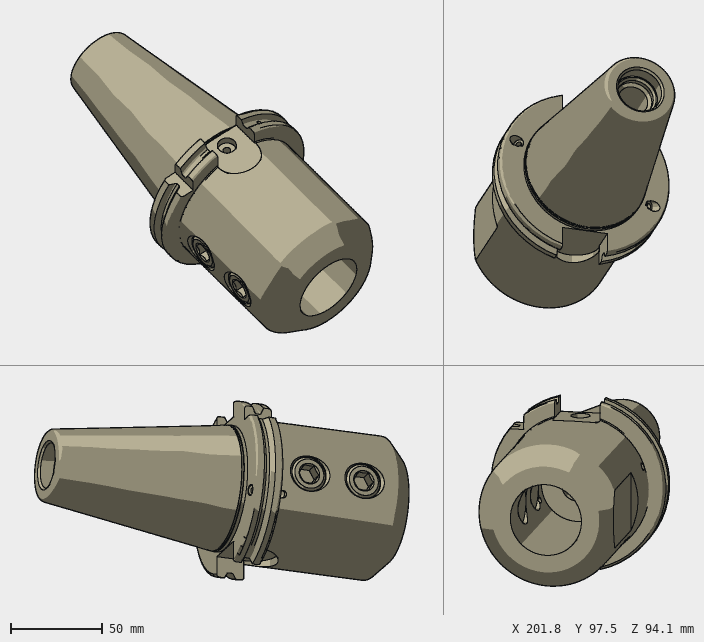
import cadquery as cq
import math


GAUGE_RADIUS = 69.85 / 2
TAPER_LENGTH = 101.75
TAPER_SLOPE = 7 / 48
SMALL_END_X = -TAPER_LENGTH
SMALL_END_RADIUS = GAUGE_RADIUS - TAPER_LENGTH * TAPER_SLOPE
SMALL_END_FILLET = 2.2

RELIEF_END_X = 1.2
RELIEF_RADIUS = 34.3
COLLAR_RADIUS = 35.1

FLANGE_START_X = 3.2
FLANGE_END_X = 19.1
FLANGE_RADIUS = 97.5 / 2
FLANGE_FILLET = 1.5
GROOVE_X = 11.1
GROOVE_RADIUS = 45.7
GROOVE_BOTTOM_WIDTH = 3.0
GROOVE_HALF_ANGLE = math.radians(30)
GROOVE_FILLET = 1.0
GROOVE_HOLE_RADIUS = 1.25
GROOVE_HOLE_DEPTH = 5.0
GROOVE_HOLE_AZIMUTH = math.radians(30)

NOSE_RADIUS = 40.0
NOSE_END_X = 100.0
NOSE_CHAMFER = 10.0
NOSE_ROOT_FILLET = 0.6
NOSE_SHOULDER_FILLET = 2.0
NOSE_TIP_FILLET = 1.0

FLAT_Y = 36.5
FLAT_START_X = 48.3
FLAT_RAMP_ANGLE = math.radians(60)

TOOL_BORE_RADIUS = 20.0
TOOL_BORE_DEPTH = 80.0
THROUGH_RADIUS = 8.5
THREAD_RADIUS = 10.5
THREAD_LEAD_RADIUS = 11.8
THREAD_DEPTH = 13.0
PILOT_RADIUS = 12.5
PILOT_DEPTH = 8.9
PILOT_CHAMFER = 1.2

SLOT_WIDTH = 25.7
SLOT_END_RADIUS = 13.25
SLOT_CENTRE_X = 20.2
UPPER_SLOT_Z = 37.7
LOWER_SLOT_Z = 35.3

NOTCH_CORNER = 30.2

CHIP_RADIUS = 5.2
CHIP_DEPTH = 4.6
CHIP_DRILL_RADIUS = 2.1
CHIP_DRILL_DEPTH = 5.0

COOLANT_AZIMUTH = math.radians(20)
COOLANT_MOUTH_RADIUS = 41.7
COOLANT_LEAN = math.radians(40)
COOLANT_COUNTERBORE_RADIUS = 3.0
COOLANT_COUNTERBORE_DEPTH = 3.0
COOLANT_RADIUS = 1.5
PLUG_X = 22.9
PLUG_RADIUS = 2.1
PLUG_DEPTH = 3.0

SCREW_X = (38.0, 70.0)
SCREW_RADIUS = 10.0
SCREW_FACE_Y = -38.8
SCREW_FACE_RADIUS = 8.5
SCREW_END_Y = -TOOL_BORE_RADIUS
SCREW_SINK_RADIUS = 11.6
SOCKET_ACROSS_FLATS = 10.0
SOCKET_DEPTH = 8.0
SOCKET_SINK_RADIUS = 6.0

DRILL_TIP_ANGLE = math.radians(118)
CUT_MARGIN = 5.0


def drill(start, direction, radius, depth, tip_angle=None):
    """Cylinder from start along direction, with a conical tip if a tip angle is given."""
    tool = cq.Solid.makeCylinder(radius, depth, start, direction)
    if tip_angle is None:
        return tool
    tip_height = radius / math.tan(tip_angle / 2)
    tip = cq.Solid.makeCone(radius, 0, tip_height, start + direction.normalized() * depth, direction)
    return tool.fuse(tip)


def round_edge(body, x, radius, fillet):
    """Fillet the circular edge of the given radius that lies at x on the spindle axis."""
    near = 0.01
    edges = []
    for edge in body.edges("%CIRCLE").vals():
        if abs(edge.Center().x - x) < near and abs(edge.radius() - radius) < near:
            edges.append(edge)
    return body.newObject(edges).fillet(fillet)


def make_blank():
    """Turned outline of taper, flange and nose, with the rounded edges."""
    groove_half_bottom = GROOVE_BOTTOM_WIDTH / 2
    groove_half_top = groove_half_bottom + (FLANGE_RADIUS - GROOVE_RADIUS) * math.tan(GROOVE_HALF_ANGLE)
    outline = [
        (SMALL_END_X, 0),
        (SMALL_END_X, SMALL_END_RADIUS),
        (0, GAUGE_RADIUS),
        (0, RELIEF_RADIUS),
        (RELIEF_END_X, RELIEF_RADIUS),
        (RELIEF_END_X, COLLAR_RADIUS),
        (FLANGE_START_X, COLLAR_RADIUS),
        (FLANGE_START_X, FLANGE_RADIUS),
        (GROOVE_X - groove_half_top, FLANGE_RADIUS),
        (GROOVE_X - groove_half_bottom, GROOVE_RADIUS),
        (GROOVE_X + groove_half_bottom, GROOVE_RADIUS),
        (GROOVE_X + groove_half_top, FLANGE_RADIUS),
        (FLANGE_END_X, FLANGE_RADIUS),
        (FLANGE_END_X, NOSE_RADIUS),
        (NOSE_END_X - NOSE_CHAMFER, NOSE_RADIUS),
        (NOSE_END_X, NOSE_RADIUS - NOSE_CHAMFER),
        (NOSE_END_X, 0),
    ]
    blank = cq.Workplane("XZ").polyline(outline).close().revolve(360, (0, 0, 0), (1, 0, 0))

    blank = round_edge(blank, SMALL_END_X, SMALL_END_RADIUS, SMALL_END_FILLET)
    blank = round_edge(blank, FLANGE_START_X, FLANGE_RADIUS, FLANGE_FILLET)
    blank = round_edge(blank, FLANGE_END_X, FLANGE_RADIUS, FLANGE_FILLET)
    for side in (-1, 1):
        blank = round_edge(blank, GROOVE_X + side * groove_half_bottom, GROOVE_RADIUS, GROOVE_FILLET)
    blank = round_edge(blank, FLANGE_END_X, NOSE_RADIUS, NOSE_ROOT_FILLET)
    blank = round_edge(blank, NOSE_END_X - NOSE_CHAMFER, NOSE_RADIUS, NOSE_SHOULDER_FILLET)
    return round_edge(blank, NOSE_END_X, NOSE_RADIUS - NOSE_CHAMFER, NOSE_TIP_FILLET)


def make_axial_bores():
    """Stepped bore: pilot, thread core and through hole from -X, tool bore from +X."""
    pilot_end_x = SMALL_END_X + PILOT_DEPTH
    thread_end_x = SMALL_END_X + THREAD_DEPTH
    tool_bore_end_x = NOSE_END_X - TOOL_BORE_DEPTH
    outline = [
        (SMALL_END_X, 0),
        (SMALL_END_X, PILOT_RADIUS + PILOT_CHAMFER),
        (SMALL_END_X + PILOT_CHAMFER, PILOT_RADIUS),
        (pilot_end_x, PILOT_RADIUS),
        (pilot_end_x, THREAD_LEAD_RADIUS),
        (pilot_end_x + THREAD_LEAD_RADIUS - THREAD_RADIUS, THREAD_RADIUS),
        (thread_end_x, THREAD_RADIUS),
        (thread_end_x + (THREAD_RADIUS - THROUGH_RADIUS) / math.tan(DRILL_TIP_ANGLE / 2), THROUGH_RADIUS),
        (tool_bore_end_x, THROUGH_RADIUS),
        (tool_bore_end_x, TOOL_BORE_RADIUS),
        (NOSE_END_X, TOOL_BORE_RADIUS),
        (NOSE_END_X, 0),
    ]
    return cq.Workplane("XZ").polyline(outline).close().revolve(360, (0, 0, 0), (1, 0, 0))


def make_drive_slot(floor_z, side):
    """Slot across the flange with a round end in the nose; side is +1 for +Z, -1 for -Z."""
    start_x = FLANGE_START_X - CUT_MARGIN
    half_width = SLOT_WIDTH / 2
    height = FLANGE_RADIUS + CUT_MARGIN - floor_z
    return (
        cq.Workplane("XY", origin=(0, 0, side * floor_z))
        .moveTo(start_x, -half_width)
        .lineTo(FLANGE_END_X, -half_width)
        .lineTo(FLANGE_END_X, -SLOT_END_RADIUS)
        .lineTo(SLOT_CENTRE_X, -SLOT_END_RADIUS)
        .threePointArc((SLOT_CENTRE_X + SLOT_END_RADIUS, 0), (SLOT_CENTRE_X, SLOT_END_RADIUS))
        .lineTo(FLANGE_END_X, SLOT_END_RADIUS)
        .lineTo(FLANGE_END_X, half_width)
        .lineTo(start_x, half_width)
        .close()
        .extrude(side * height)
    )


def make_notch():
    size = FLANGE_RADIUS
    width = FLANGE_END_X - FLANGE_START_X
    return cq.Workplane("XY").box(width, size, size, centered=False).translate(
        (FLANGE_START_X, -NOTCH_CORNER - size, NOTCH_CORNER))


def make_flat():
    """Wedge-ended cutter for the balancing flat; its start is a steep ramp."""
    rise = NOSE_RADIUS + CUT_MARGIN - FLAT_Y
    outline = [
        (FLAT_START_X, FLAT_Y),
        (FLAT_START_X - rise / math.tan(FLAT_RAMP_ANGLE), FLAT_Y + rise),
        (NOSE_END_X, FLAT_Y + rise),
        (NOSE_END_X, FLAT_Y),
    ]
    return cq.Workplane("XY").polyline(outline).close().extrude(NOSE_RADIUS, both=True)


def make_chip_pocket():
    down = cq.Vector(0, 0, -1)
    pocket = drill(cq.Vector(GROOVE_X, 0, UPPER_SLOT_Z), down, CHIP_RADIUS, CHIP_DEPTH)
    drill_start = cq.Vector(GROOVE_X, 0, UPPER_SLOT_Z - CHIP_DEPTH)
    return pocket.fuse(drill(drill_start, down, CHIP_DRILL_RADIUS, CHIP_DRILL_DEPTH, DRILL_TIP_ANGLE))


def make_groove_hole():
    """Small blind radial hole in the bottom of the gripper groove."""
    outward = cq.Vector(0, math.sin(GROOVE_HOLE_AZIMUTH), math.cos(GROOVE_HOLE_AZIMUTH))
    start = cq.Vector(GROOVE_X, 0, 0) + outward * FLANGE_RADIUS
    depth = FLANGE_RADIUS - GROOVE_RADIUS + GROOVE_HOLE_DEPTH
    return drill(start, outward * -1, GROOVE_HOLE_RADIUS, depth)


def make_coolant_channel(side):
    """Counterbored channel from the flange face to the tool bore, and the blind plug hole."""
    outward = cq.Vector(0, side * math.cos(COOLANT_AZIMUTH), side * math.sin(COOLANT_AZIMUTH))
    along = cq.Vector(math.cos(COOLANT_LEAN), 0, 0) - outward * math.sin(COOLANT_LEAN)
    mouth = cq.Vector(FLANGE_START_X, 0, 0) + outward * COOLANT_MOUTH_RADIUS
    channel_length = (COOLANT_MOUTH_RADIUS - TOOL_BORE_RADIUS + COOLANT_RADIUS) / math.sin(COOLANT_LEAN)
    counterbore = drill(mouth - along * CUT_MARGIN, along, COOLANT_COUNTERBORE_RADIUS,
                        COOLANT_COUNTERBORE_DEPTH + CUT_MARGIN)
    channel = drill(mouth, along, COOLANT_RADIUS, channel_length)
    plug_hole = drill(cq.Vector(PLUG_X, 0, 0) + outward * NOSE_RADIUS, outward * -1, PLUG_RADIUS,
                      PLUG_DEPTH, DRILL_TIP_ANGLE)
    return counterbore.fuse(channel).fuse(plug_hole)


def make_screw_hole(x):
    """Radial hole into the tool bore with a 45 degree countersink at the nose surface."""
    inward = cq.Vector(0, 1, 0)
    surface = cq.Vector(x, -NOSE_RADIUS, 0)
    hole = drill(surface, inward, SCREW_RADIUS, NOSE_RADIUS)
    sink_depth = SCREW_SINK_RADIUS - SCREW_RADIUS
    sink = cq.Solid.makeCone(SCREW_SINK_RADIUS, SCREW_RADIUS, sink_depth, surface, inward)
    return hole.fuse(sink)


def make_housing():
    housing = make_blank()
    housing = housing.cut(make_axial_bores())
    housing = housing.cut(make_drive_slot(UPPER_SLOT_Z, 1))
    housing = housing.cut(make_drive_slot(LOWER_SLOT_Z, -1))
    housing = housing.cut(make_notch())
    housing = housing.cut(make_flat())
    housing = housing.cut(make_chip_pocket())
    housing = housing.cut(make_groove_hole())
    for side in (1, -1):
        housing = housing.cut(make_coolant_channel(side))
    for x in SCREW_X:
        housing = housing.cut(make_screw_hole(x))
    return housing


def make_screw(x):
    """Set screw with chamfered face and a countersunk hexagon socket."""
    inward = cq.Vector(0, 1, 0)
    face = cq.Vector(x, SCREW_FACE_Y, 0)
    chamfer = SCREW_RADIUS - SCREW_FACE_RADIUS
    socket_corner = SOCKET_ACROSS_FLATS / math.sqrt(3)
    screw = cq.Workplane(drill(face, inward, SCREW_RADIUS, SCREW_END_Y - SCREW_FACE_Y))
    screw = screw.faces("<Y").chamfer(chamfer)
    socket_plane = cq.Plane(origin=face.toTuple(), xDir=(1, 0, 0), normal=(0, 1, 0))
    socket = cq.Workplane(socket_plane).polygon(6, 2 * socket_corner).extrude(SOCKET_DEPTH)
    sink = cq.Solid.makeCone(SOCKET_SINK_RADIUS, 0, SOCKET_SINK_RADIUS, face, inward)
    return screw.cut(socket).cut(sink)


housing = make_housing()
screws = [make_screw(x) for x in SCREW_X]

result = cq.Compound.makeCompound([housing.val(), *[screw.val() for screw in screws]])